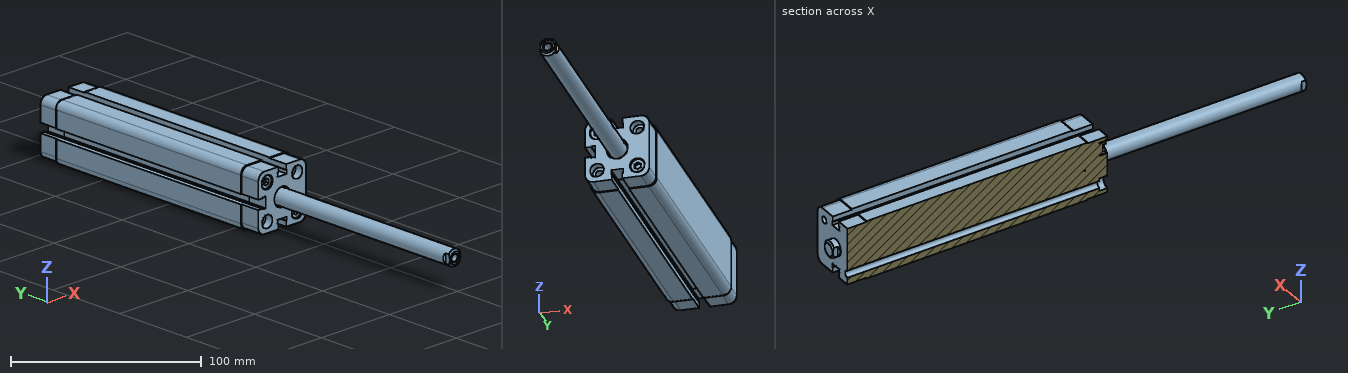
import cadquery as cq

TOTAL_LENGTH = 297.0
TUBE_LENGTH = 138.5
FRONT_CAP_LENGTH = 12.5
REAR_CAP_LENGTH = 12.0
REAR_STUB_LENGTH = 4.5
BARREL_LENGTH = FRONT_CAP_LENGTH + TUBE_LENGTH + REAR_CAP_LENGTH
FRONT_FACE_Y = 0.0
TUBE_START_Y = FRONT_FACE_Y + FRONT_CAP_LENGTH
TUBE_END_Y = TUBE_START_Y + TUBE_LENGTH
REAR_FACE_Y = FRONT_FACE_Y + BARREL_LENGTH
ROD_REAR_Y = REAR_FACE_Y + REAR_STUB_LENGTH
ROD_TIP_Y = ROD_REAR_Y - TOTAL_LENGTH

TUBE_WIDTH = 36.1
TUBE_CORNER_RADIUS = 4.5
CAP_WIDTH = 35.1
CAP_CORNER_RADIUS = 4.5
GROOVE_NECK_WIDTH = 5.8
GROOVE_WIDTH = 6.6
GROOVE_SHOULDER = 14.2
CAP_GROOVE_FLOOR = 12.0
TUBE_GROOVE_FLOOR = 11.8

ROD_DIAMETER = 10.0
ROD_END_FACE_DIAMETER = 7.5
ROD_END_CHAMFER_LENGTH = 0.8
FLAT_SPACING = 8.0
FLAT_LENGTH = 3.1
FLAT_RUNOUT = (ROD_DIAMETER - FLAT_SPACING) / 2
ROD_THREAD_DIAMETER = 4.13
ROD_THREAD_DEPTH = 10.0
ROD_COUNTERSINK_DIAMETER = 5.25
ROD_RECESS_DIAMETER = 11.6
ROD_RECESS_DEPTH = 2.0

HOLE_OFFSET = 11.0
THROUGH_HOLE_DIAMETER = 4.13
COUNTERBORE_DIAMETER = 7.5
COUNTERBORE_DEPTH = 5.0
SCREW_BORE_DIAMETER = 8.0
SCREW_BORE_DEPTH = 5.0
SCREW_HEAD_DIAMETER = 7.5
SCREW_HEAD_HEIGHT = 4.2
SOCKET_ACROSS_FLATS = 3.5
SOCKET_DEPTH = 2.0


def cylinder(diameter, start_y, end_y, x=0.0, z=0.0):
    """Round bar parallel to Y."""
    base = cq.Workplane("XZ", origin=(x, start_y, z))
    return base.circle(diameter / 2).extrude(start_y - end_y)


def cone(start_radius, end_radius, start_y):
    """Coaxial 90 degree cone narrowing toward +Y."""
    height = start_radius - end_radius
    axis = cq.Vector(0, 1, 0)
    return cq.Workplane(cq.Solid.makeCone(start_radius, end_radius, height, cq.Vector(0, start_y, 0), axis))


def square_bar(width, corner_radius, start_y, end_y):
    """Square bar along Y with rounded long edges."""
    bar = cq.Workplane("XZ", origin=(0, start_y, 0)).rect(width, width).extrude(start_y - end_y)
    return bar.edges("|Y").fillet(corner_radius)


def grooved_bar(width, corner_radius, groove_floor, start_y, end_y):
    """Square bar with an undercut sensor groove along its top, bottom and -X sides."""
    bar = square_bar(width, corner_radius, start_y, end_y)
    length = end_y - start_y
    chamber = (
        cq.Workplane("XY", origin=(0, start_y, groove_floor))
        .box(GROOVE_WIDTH, length, GROOVE_SHOULDER - groove_floor, centered=(True, False, False))
    )
    neck = (
        cq.Workplane("XY", origin=(0, start_y, GROOVE_SHOULDER))
        .box(GROOVE_NECK_WIDTH, length, width / 2 - GROOVE_SHOULDER, centered=(True, False, False))
    )
    groove = chamber.union(neck)
    for angle in (0, -90, 180):
        bar = bar.cut(groove.rotate((0, 0, 0), (0, 1, 0), angle))
    return bar


def barrel():
    """Profile tube between two slightly smaller end caps."""
    body = grooved_bar(
        TUBE_WIDTH, TUBE_CORNER_RADIUS, TUBE_GROOVE_FLOOR, TUBE_START_Y, TUBE_END_Y
    )
    for start_y, end_y in ((FRONT_FACE_Y, TUBE_START_Y), (TUBE_END_Y, REAR_FACE_Y)):
        cap = grooved_bar(
            CAP_WIDTH, CAP_CORNER_RADIUS, CAP_GROOVE_FLOOR, start_y, end_y
        )
        body = body.union(cap)
    return body


def through_hole(x, z):
    """Corner hole through the barrel, counterbored at the front."""
    bore = cylinder(THROUGH_HOLE_DIAMETER, FRONT_FACE_Y, REAR_FACE_Y, x, z)
    return bore.union(cylinder(COUNTERBORE_DIAMETER, FRONT_FACE_Y, FRONT_FACE_Y + COUNTERBORE_DEPTH, x, z))


def screw_recess(x, z):
    """Blind corner bore around a socket head screw that stands on its floor."""
    floor_y = FRONT_FACE_Y + SCREW_BORE_DEPTH
    head_y = floor_y - SCREW_HEAD_HEIGHT
    bore = cylinder(SCREW_BORE_DIAMETER, FRONT_FACE_Y, floor_y, x, z)
    head = cylinder(SCREW_HEAD_DIAMETER, head_y, floor_y, x, z)
    socket = (
        cq.Workplane("XZ", origin=(x, head_y, z))
        .polygon(6, SOCKET_ACROSS_FLATS, circumscribed=True)
        .extrude(-SOCKET_DEPTH)
    )
    return bore.cut(head.cut(socket))


def end_flats(tip_y, inward):
    """Pair of wrench flats at one rod end; inward is the Y direction into the rod."""
    inner = FLAT_SPACING / 2
    outer = ROD_DIAMETER / 2
    flat_end_y = tip_y + inward * FLAT_LENGTH
    side = (
        cq.Workplane("XY")
        .moveTo(inner, tip_y)
        .lineTo(outer, tip_y)
        .lineTo(outer, flat_end_y + inward * FLAT_RUNOUT)
        .lineTo(inner, flat_end_y)
        .close()
        .extrude(ROD_DIAMETER / 2, both=True)
    )
    return side.union(side.mirror("YZ"))


def rod():
    """Piston rod through the barrel, with flats at both ends and a tapped front end."""
    rod_radius = ROD_DIAMETER / 2
    end_radius = ROD_END_FACE_DIAMETER / 2
    half_section = (
        cq.Workplane("XY")
        .moveTo(0, ROD_TIP_Y)
        .lineTo(end_radius, ROD_TIP_Y)
        .lineTo(rod_radius, ROD_TIP_Y + ROD_END_CHAMFER_LENGTH)
        .lineTo(rod_radius, ROD_REAR_Y - ROD_END_CHAMFER_LENGTH)
        .lineTo(end_radius, ROD_REAR_Y)
        .lineTo(0, ROD_REAR_Y)
        .close()
    )
    body = half_section.revolve(360, (0, 0, 0), (0, 1, 0))
    body = body.cut(end_flats(ROD_TIP_Y, 1)).cut(end_flats(ROD_REAR_Y, -1))
    thread = cylinder(ROD_THREAD_DIAMETER, ROD_TIP_Y, ROD_TIP_Y + ROD_THREAD_DEPTH)
    drill_radius = ROD_THREAD_DIAMETER / 2
    drill_point = cone(drill_radius, 0, ROD_TIP_Y + ROD_THREAD_DEPTH)
    countersink = cone(ROD_COUNTERSINK_DIAMETER / 2, drill_radius, ROD_TIP_Y)
    return body.cut(thread).cut(drill_point).cut(countersink)


housing = barrel().cut(cylinder(ROD_RECESS_DIAMETER, FRONT_FACE_Y, FRONT_FACE_Y + ROD_RECESS_DEPTH))
for side in (1, -1):
    housing = housing.cut(through_hole(side * HOLE_OFFSET, side * HOLE_OFFSET))
    housing = housing.cut(screw_recess(-side * HOLE_OFFSET, side * HOLE_OFFSET))

result = housing.union(rod())